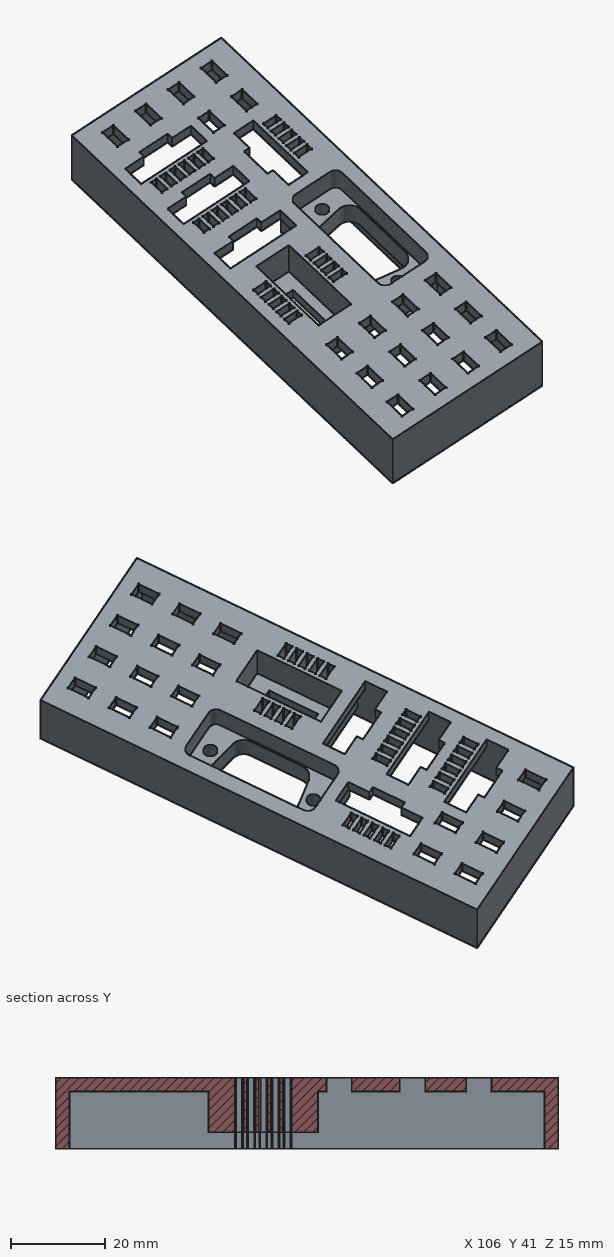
import cadquery as cq
import math

LENGTH = 106.0
WIDTH = 41.0
HEIGHT = 15.0

PLATE = 3.0
WALL = 3.0
HOUSING_WALL = 1.3
HOUSING_BOTTOM = 3.5

RELIEF_DIAMETER = 0.3
WINDOW_LENGTH = 5.0
WINDOW_WIDTH = 3.0
WINDOW_PITCH_X = 10.0
WINDOW_PITCH_Y = 9.0
WINDOW_FIRST_X = 6.0
WINDOW_FIRST_Y = 7.0
WINDOW_ROWS = 4
WINDOW_RIGHT_COLUMNS = 3
WINDOW_RIGHT_X = LENGTH - WINDOW_FIRST_X - (WINDOW_RIGHT_COLUMNS - 1) * WINDOW_PITCH_X
SLOT_LENGTH = 3.5
SLOT_WIDTH = 1.5
SLOT_PITCH = 2.5
LEFT_SLOT_FIRST_Y = 5.6
LEFT_SLOT_COUNT = 6
REAR_SLOT_FIRST_X = 24.2
REAR_SLOT_Y = 34.9
REAR_SLOT_COUNT = 5
BOX_SLOT_FIRST_X = 57.1
BOX_FRONT_SLOT_Y = 4.8
BOX_REAR_SLOT_Y = 19.2
BOX_FRONT_SLOT_COUNT = 5
BOX_REAR_SLOT_COUNT = 4
LEFT_SLOT_X = 22.2
MIDDLE_SLOT_X = 36.1

CONNECTOR_LENGTH = 18.0
CONNECTOR_WIDTH = 5.3
KEY_LENGTH = 7.7
KEY_DEPTH = 1.5
CONNECTOR_Y = 12.0
LEFT_CONNECTOR_X = 16.7
MIDDLE_CONNECTOR_X = 30.7
RIGHT_CONNECTOR_X = 46.2
REAR_CONNECTOR_X = 30.4
REAR_CONNECTOR_Y = 29.4

D_X = 58.0
D_Y = 31.0
D_POCKET_LENGTH = 31.3
D_POCKET_WIDTH = 13.0
D_POCKET_DEPTH = 5.9
D_POCKET_RADIUS = 1.8
D_HEIGHT = 12.4
D_MID_LENGTH = 19.7
D_SIDE_ANGLE = 10.0
D_RADIUS = 3.0
SCREW_DIAMETER = 3.0
SCREW_SPACING = 25.0

BOX_X = 62.2
BOX_Y = 12.0
BOX_LENGTH = 20.6
BOX_WIDTH = 8.9
BOX_DEPTH = 9.0
BOX_WINDOW_LENGTH = 11.9
BOX_WINDOW_WIDTH = 3.9


def block(x_min, x_max, y_min, y_max, z_min, z_max):
    size = (x_max - x_min, y_max - y_min, z_max - z_min)
    return cq.Workplane("XY").box(*size, centered=False).translate((x_min, y_min, z_min))


def centered_block(x, y, length, width, z_min, z_max):
    return block(x - length / 2, x + length / 2, y - width / 2, y + width / 2, z_min, z_max)


def relieved_openings(centers, length, width):
    """Rectangular through openings with a small round relief at each corner."""
    rectangles = cq.Workplane("XY").pushPoints(centers).rect(length, width).extrude(HEIGHT)
    reliefs = [
        (x + side_x * length / 2, y + side_y * width / 2)
        for x, y in centers
        for side_x in (-1, 1)
        for side_y in (-1, 1)
    ]
    corners = cq.Workplane("XY").pushPoints(reliefs).circle(RELIEF_DIAMETER / 2).extrude(HEIGHT)
    return rectangles.union(corners)


def slot_row(first_x, y, count):
    """Slots standing along Y, repeated along X."""
    centers = [(first_x + i * SLOT_PITCH, y) for i in range(count)]
    return relieved_openings(centers, SLOT_WIDTH, SLOT_LENGTH)


def slot_column(x, first_y, count):
    """Slots lying along X, repeated along Y."""
    centers = [(x, first_y + i * SLOT_PITCH) for i in range(count)]
    return relieved_openings(centers, SLOT_LENGTH, SLOT_WIDTH)


def connector(x, y, turn):
    """T-shaped opening centered on its main rectangle; unturned, its key faces the front."""
    body = centered_block(0, 0, CONNECTOR_LENGTH, CONNECTOR_WIDTH, 0, HEIGHT)
    key_y = -(CONNECTOR_WIDTH + KEY_DEPTH) / 2
    key = centered_block(0, key_y, KEY_LENGTH, KEY_DEPTH, 0, HEIGHT)
    return body.union(key).rotate((0, 0, 0), (0, 0, 1), turn).translate((x, y, 0))


def d_recess():
    """Rounded pocket whose floor has a D-shaped opening between two screw holes."""
    pocket_floor = HEIGHT - D_POCKET_DEPTH
    pocket = centered_block(D_X, D_Y, D_POCKET_LENGTH, D_POCKET_WIDTH, pocket_floor, HEIGHT)
    pocket = pocket.edges("|Z").fillet(D_POCKET_RADIUS)
    half = D_HEIGHT / 2
    slant = half * math.tan(math.radians(D_SIDE_ANGLE))
    rear = D_MID_LENGTH / 2 + slant
    front = D_MID_LENGTH / 2 - slant
    outline = [(-rear, half), (rear, half), (front, -half), (-front, -half)]
    opening = cq.Workplane("XY").polyline(outline).close().extrude(HEIGHT)
    opening = opening.edges("|Z").fillet(D_RADIUS).translate((D_X, D_Y, 0))
    screw_centers = [(D_X - SCREW_SPACING / 2, D_Y), (D_X + SCREW_SPACING / 2, D_Y)]
    screws = cq.Workplane("XY").pushPoints(screw_centers).circle(SCREW_DIAMETER / 2).extrude(HEIGHT)
    return pocket.union(opening).union(screws)


def box_recess():
    """Deep rectangular pocket with a window through its floor."""
    pocket = centered_block(BOX_X, BOX_Y, BOX_LENGTH, BOX_WIDTH, HEIGHT - BOX_DEPTH, HEIGHT)
    window = centered_block(BOX_X, BOX_Y, BOX_WINDOW_LENGTH, BOX_WINDOW_WIDTH, 0, HEIGHT)
    return pocket.union(window)


def shell():
    """Open-bottomed box with solid housings left around the two recesses."""
    ceiling = HEIGHT - PLATE
    body = block(0, LENGTH, 0, WIDTH, 0, HEIGHT)
    cavity = block(WALL, LENGTH - WALL, WALL, WIDTH - WALL, 0, ceiling)
    d_front = D_Y - D_POCKET_WIDTH / 2 - HOUSING_WALL
    d_half = D_POCKET_LENGTH / 2 + HOUSING_WALL
    d_housing = block(D_X - d_half, D_X + d_half, d_front, WIDTH, HOUSING_BOTTOM, HEIGHT)
    box_half = BOX_LENGTH / 2 + HOUSING_WALL
    box_housing = block(BOX_X - box_half, BOX_X + box_half, 0, d_front, HOUSING_BOTTOM, HEIGHT)
    return body.cut(cavity).union(d_housing).union(box_housing)


def window_grid(first_x, columns, rows):
    """Small rectangular windows in columns from first_x, on the given rows counted from the front."""
    centers = [
        (first_x + column * WINDOW_PITCH_X, WINDOW_FIRST_Y + row * WINDOW_PITCH_Y)
        for column in range(columns)
        for row in rows
    ]
    return relieved_openings(centers, WINDOW_LENGTH, WINDOW_WIDTH)


openings = [
    window_grid(WINDOW_FIRST_X, 1, range(WINDOW_ROWS)),
    window_grid(WINDOW_FIRST_X + WINDOW_PITCH_X, 1, range(WINDOW_ROWS // 2, WINDOW_ROWS)),
    window_grid(WINDOW_RIGHT_X, WINDOW_RIGHT_COLUMNS, range(WINDOW_ROWS)),
    slot_row(REAR_SLOT_FIRST_X, REAR_SLOT_Y, REAR_SLOT_COUNT),
    slot_column(LEFT_SLOT_X, LEFT_SLOT_FIRST_Y, LEFT_SLOT_COUNT),
    slot_column(MIDDLE_SLOT_X, LEFT_SLOT_FIRST_Y, LEFT_SLOT_COUNT),
    slot_row(BOX_SLOT_FIRST_X, BOX_FRONT_SLOT_Y, BOX_FRONT_SLOT_COUNT),
    slot_row(BOX_SLOT_FIRST_X, BOX_REAR_SLOT_Y, BOX_REAR_SLOT_COUNT),
    connector(REAR_CONNECTOR_X, REAR_CONNECTOR_Y, 0),
    connector(LEFT_CONNECTOR_X, CONNECTOR_Y, -90),
    connector(MIDDLE_CONNECTOR_X, CONNECTOR_Y, -90),
    connector(RIGHT_CONNECTOR_X, CONNECTOR_Y, -90),
    d_recess(),
    box_recess(),
]

result = shell()
for opening in openings:
    result = result.cut(opening)